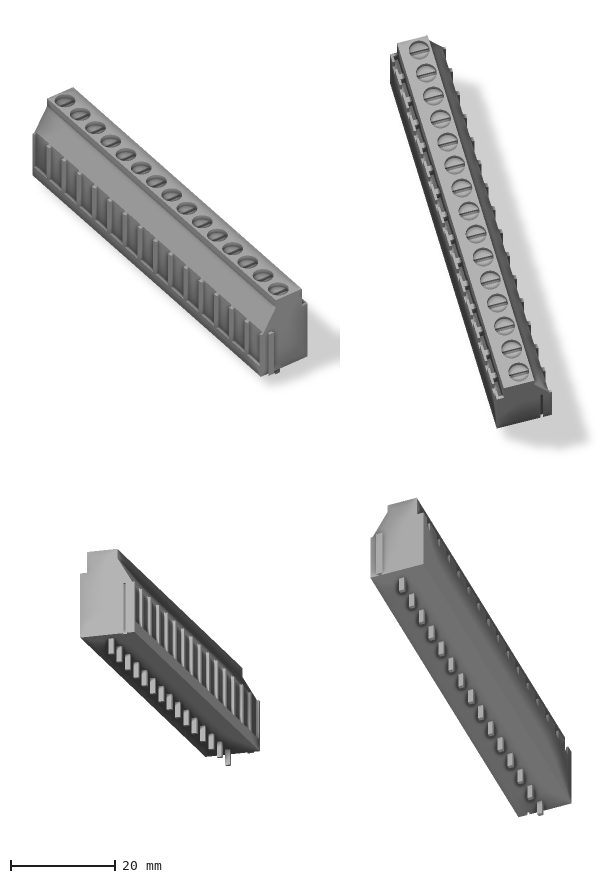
import cadquery as cq

pole_count = 15
pitch = 5.08
overall_length = 76.85
end_margin = 0.025
length = pole_count * pitch + 2 * end_margin
pole_centers = [end_margin + (i + 0.5) * pitch for i in range(pole_count)]

depth = 11.0
overall_height = 20.3
pin_length = 3.1
housing_height = overall_height - pin_length
shoulder_depth = 0.45
shoulder_height = 10.2
brow_y = 3.5
brow_height = 15.4
back_ledge_depth = 1.4
back_ledge_height = 13.0
back_wall_y = depth - back_ledge_depth

window_width = 4.2
window_depth = 0.62
window_sill = 2.35

screw_y = 5.9
screw_diameter = 4.0
well_depth = 1.0
screw_slot_width = 0.75
screw_slot_depth = 0.6

marker_width = 4.0
marker_lip = 0.5
marker_mouth_width = 1.6
marker_depth = 2.0

pin_width = 0.7
pin_thickness = 1.0
pin_y = 5.55
pin_embed = 0.5

dovetail_y = 2.05
dovetail_neck = 0.45
dovetail_tip = 1.3
dovetail_reach = overall_length - length
dovetail_height = 10.1


def block(x_center, width, y_min, y_max, z_min, z_max):
    """Box centred on x_center and spanning the given Y and Z ranges."""
    return cq.Workplane("XY").box(
        width, y_max - y_min, z_max - z_min, centered=(True, False, False)
    ).translate((x_center, y_min, z_min))


def housing():
    outline = [
        (0, 0),
        (depth, 0),
        (depth, back_ledge_height),
        (back_wall_y, back_ledge_height),
        (back_wall_y, housing_height),
        (brow_y, housing_height),
        (brow_y, brow_height),
        (shoulder_depth, shoulder_height),
        (0, shoulder_height),
    ]
    return cq.Workplane("YZ").polyline(outline).close().extrude(length)


def window(x):
    return block(x, window_width, 0, window_depth, window_sill, brow_height)


def screw_well(x):
    head_height = housing_height - well_depth
    well = (
        cq.Workplane("XY", origin=(x, screw_y, head_height))
        .circle(screw_diameter / 2)
        .extrude(well_depth)
    )
    disc = (
        cq.Workplane("XY", origin=(x, screw_y, head_height - screw_slot_depth))
        .circle(screw_diameter / 2)
        .extrude(screw_slot_depth)
    )
    slot = block(
        x,
        screw_slot_width,
        screw_y - screw_diameter / 2,
        screw_y + screw_diameter / 2,
        head_height - screw_slot_depth,
        head_height,
    )
    return well.union(disc.intersect(slot))


def marker_pocket(x):
    floor = back_ledge_height - marker_depth
    lip_y = depth - marker_lip
    pocket = block(x, marker_width, back_wall_y, lip_y, floor, back_ledge_height)
    mouth = block(x, marker_mouth_width, back_wall_y, depth, floor, back_ledge_height)
    return pocket.union(mouth)


def pin(x):
    half = pin_thickness / 2
    return block(x, pin_width, pin_y - half, pin_y + half, -pin_length, pin_embed)


def dovetail(x):
    """Vertical dovetail bar whose narrow side lies in the plane X = x and widens toward +X."""
    outline = [
        (x, dovetail_y - dovetail_neck / 2),
        (x + dovetail_reach, dovetail_y - dovetail_tip / 2),
        (x + dovetail_reach, dovetail_y + dovetail_tip / 2),
        (x, dovetail_y + dovetail_neck / 2),
    ]
    return cq.Workplane("XY").polyline(outline).close().extrude(dovetail_height)


result = housing()
for x_pole in pole_centers:
    result = result.cut(window(x_pole))
    result = result.cut(screw_well(x_pole))
    result = result.cut(marker_pocket(x_pole))
    result = result.union(pin(x_pole))
result = result.cut(dovetail(0)).union(dovetail(length))